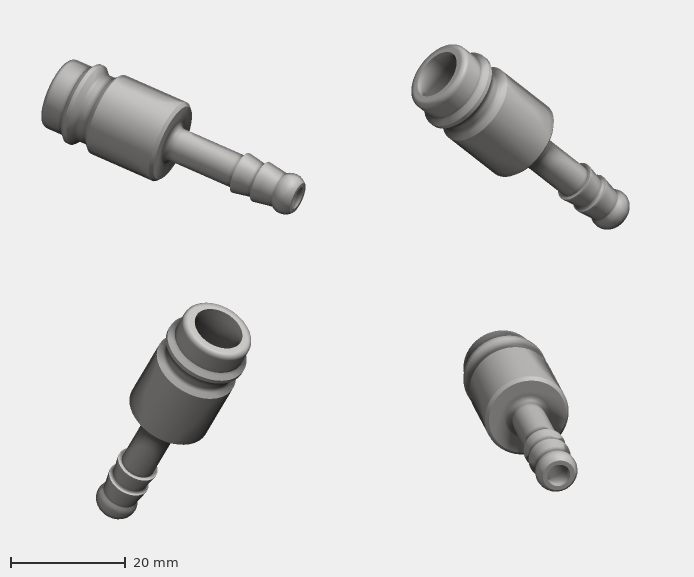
import cadquery as cq
import math

total_length = 48.0
x_start = -total_length / 2
x_end = total_length / 2

body_radius = 15.0 / 2
body_end = x_start + 23.05
body_chamfer = 0.6

nose_radius = 13.0 / 2
nose_length = 4.2
nose_fillet = 1.0

rim_width = 0.75
groove_radius = 12.65 / 2
groove_floor_width = 0.95
groove_fillet = 1.0

neck_radius = 6.1 / 2
neck_fillet = 1.0

barb_radius = 3.75
barb_root_radius = 3.15
barb_land = 0.3
barb_starts = (x_start + 36.55, x_start + 40.55)
barb_root_fillet = barb_radius - barb_root_radius

bulb_start = x_start + 44.45
bulb_crest = x_start + 46.2
bulb_radius = 3.75
bulb_end_radius = 2.85

bore_radius = 9.0 / 2
bore_depth = 15.35
drill_point_angle = 118.0
passage_radius = 4.1 / 2

sin_45 = math.sin(math.radians(45))
cos_45 = math.cos(math.radians(45))
sin_22 = math.sin(math.radians(22.5))
cos_22 = math.cos(math.radians(22.5))


def add_nose(outline):
    """Front face and rounded plain nose."""
    round_offset = nose_fillet * (1 - cos_45)
    return (
        outline.lineTo(x_start, nose_radius - nose_fillet)
        .threePointArc(
            (x_start + round_offset, nose_radius - round_offset),
            (x_start + nose_fillet, nose_radius),
        )
        .lineTo(x_start + nose_length, nose_radius)
    )


def add_rim_and_groove(outline):
    """Bevelled rim followed by a groove with 45 degree walls and rounded floor corners."""
    rim_start = x_start + nose_length + body_radius - nose_radius
    rim_end = rim_start + rim_width
    wall_foot = groove_radius + groove_fillet * (1 - cos_45)
    wall_run = body_radius - wall_foot
    arc_run = groove_fillet * sin_45
    mid_run = groove_fillet * sin_22
    mid_radius = groove_radius + groove_fillet * (1 - cos_22)
    floor_start = rim_end + wall_run + arc_run
    floor_end = floor_start + groove_floor_width
    return (
        outline.lineTo(rim_start, body_radius)
        .lineTo(rim_end, body_radius)
        .lineTo(rim_end + wall_run, wall_foot)
        .threePointArc((floor_start - mid_run, mid_radius), (floor_start, groove_radius))
        .lineTo(floor_end, groove_radius)
        .threePointArc((floor_end + mid_run, mid_radius), (floor_end + arc_run, wall_foot))
        .lineTo(floor_end + arc_run + wall_run, body_radius)
    )


def add_body_and_neck(outline):
    """Chamfered body end with a fillet down to the neck."""
    round_offset = neck_fillet * (1 - cos_45)
    return (
        outline.lineTo(body_end - body_chamfer, body_radius)
        .lineTo(body_end, body_radius - body_chamfer)
        .lineTo(body_end, neck_radius + neck_fillet)
        .threePointArc(
            (body_end + round_offset, neck_radius + round_offset),
            (body_end + neck_fillet, neck_radius),
        )
        .lineTo(barb_starts[0], neck_radius)
    )


def add_barbs(outline):
    """Two hose barbs, with a concave fillet rising to the second crest, tapering towards the bulb."""
    first_start, second_start = barb_starts
    round_offset = barb_root_fillet * (1 - cos_45)
    return (
        outline.lineTo(first_start, barb_radius)
        .lineTo(first_start + barb_land, barb_radius)
        .lineTo(second_start - barb_root_fillet, barb_root_radius)
        .threePointArc(
            (second_start - round_offset, barb_root_radius + round_offset),
            (second_start, barb_radius),
        )
        .lineTo(second_start + barb_land, barb_radius)
        .lineTo(bulb_start, barb_root_radius)
    )


def add_bulb(outline):
    """Rounded bulb at the hose end, closed by a flat face."""
    return (
        outline.threePointArc((bulb_crest, bulb_radius), (x_end, bulb_end_radius))
        .lineTo(x_end, passage_radius)
    )


def add_bore(outline):
    """Wide front bore with a drill-point bottom opening into the through passage."""
    bore_end = x_start + bore_depth
    cone_length = (bore_radius - passage_radius) / math.tan(math.radians(drill_point_angle / 2))
    return (
        outline.lineTo(bore_end + cone_length, passage_radius)
        .lineTo(bore_end, bore_radius)
        .close()
    )


outline = cq.Workplane("XY").moveTo(x_start, bore_radius)
for add_section in (add_nose, add_rim_and_groove, add_body_and_neck, add_barbs, add_bulb, add_bore):
    outline = add_section(outline)

result = outline.revolve(360, (0, 0, 0), (1, 0, 0))